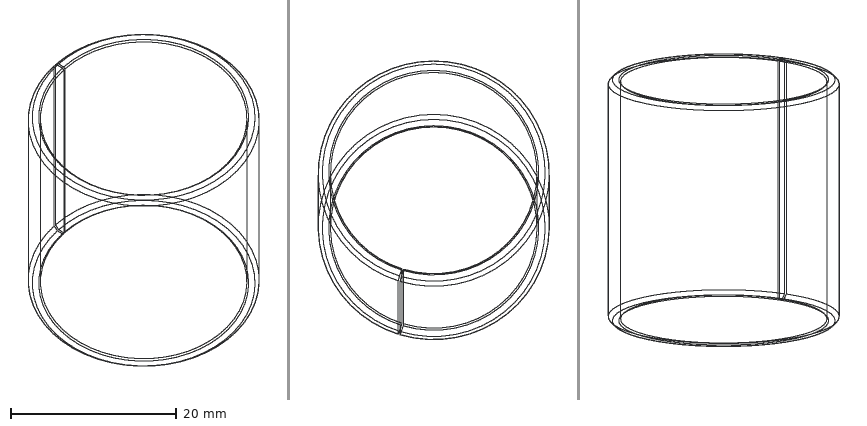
import cadquery as cq

length = 30.0
outer_diameter = 28.0
wall = 1.5
outer_chamfer = 0.5
inner_chamfer = 0.2
slit_angle = 1.0

outer_radius = outer_diameter / 2
inner_radius = outer_radius - wall
half_length = length / 2


def wall_section():
    """Cross-section of the wall on the +X side, chamfered at all four corners."""
    face_outer = outer_radius - outer_chamfer
    face_inner = inner_radius + inner_chamfer
    outer_edge_z = half_length - outer_chamfer
    inner_edge_z = half_length - inner_chamfer
    corners = [
        (face_inner, -half_length),
        (face_outer, -half_length),
        (outer_radius, -outer_edge_z),
        (outer_radius, outer_edge_z),
        (face_outer, half_length),
        (face_inner, half_length),
        (inner_radius, inner_edge_z),
        (inner_radius, -inner_edge_z),
    ]
    return cq.Workplane("XZ").polyline(corners).close()


def split_sleeve():
    """Sweep the wall about Z, stopping short of a full turn to leave the slit.

    The half turn puts the slit at -X, with its first wall on Y = 0
    and the gap on the +Y side.
    """
    sleeve = wall_section().revolve(360 - slit_angle, (0, 0, 0), (0, 1, 0))
    return sleeve.rotate((0, 0, 0), (0, 0, 1), 180)


result = split_sleeve()